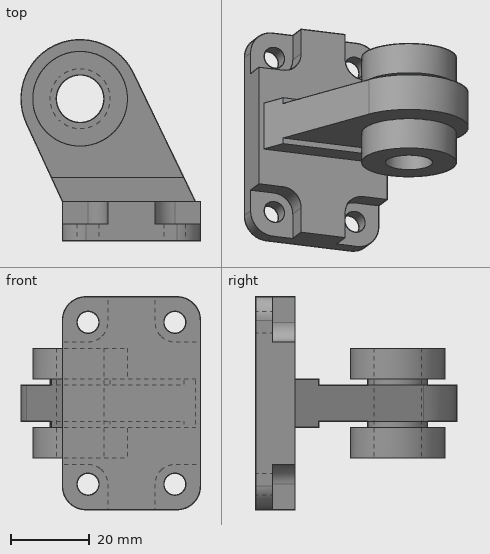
import cadquery as cq
import math

plate_width = 35.0
plate_height = 54.0
plate_thickness = 10.0
plate_corner_radius = 6.0

screw_hole_diameter = 5.5
screw_hole_inset = 6.5
relief_radius = 5.0
relief_floor = 4.3

eye_x = 4.5
eye_y = 36.0
eye_radius = 15.0
bore_diameter = 12.0
neck_diameter = 15.2
bushing_diameter = 24.0

arm_thickness = 9.2
neck_length = 1.5
bushing_length = 7.8
bushing_gap = arm_thickness + 2 * neck_length
bushing_span = bushing_gap + 2 * bushing_length

root_left_x = 0.0
root_right_x = 33.7
root_length = 6.0
root_thickness = bushing_gap


def tangent_point(root_x, side):
    """Point where a line from the arm root touches the eye circle (side: -1 left, +1 right)."""
    run_x = eye_x - root_x
    run_y = eye_y - plate_thickness
    lean = math.asin(eye_radius / math.hypot(run_x, run_y))
    edge_angle = math.atan2(run_y, run_x) - side * lean
    normal_angle = edge_angle - side * math.pi / 2
    return (
        eye_x + eye_radius * math.cos(normal_angle),
        eye_y + eye_radius * math.sin(normal_angle),
    )


def plate_face(depth):
    """Sketch plane parallel to the plate front, at the given depth and centred on the plate."""
    return cq.Workplane("XZ", origin=(plate_width / 2, depth, 0))


def centred_cylinder(diameter, length):
    """Cylinder on the pivot axis, symmetric about Z = 0."""
    return cq.Workplane("XY").center(eye_x, eye_y).circle(diameter / 2).extrude(length / 2, both=True)


def make_plate():
    """Rounded plate with four screw holes and a relief behind each corner."""
    plate = (
        cq.Workplane("XY")
        .box(plate_width, plate_thickness, plate_height, centered=(False, False, True))
        .edges("|Y")
        .fillet(plate_corner_radius)
    )

    relief_size = 2 * (screw_hole_inset + relief_radius)
    reliefs = (
        plate_face(relief_floor)
        .rarray(plate_width, plate_height, 2, 2)
        .rect(relief_size, relief_size)
        .extrude(-(plate_thickness - relief_floor))
        .edges("|Y")
        .fillet(relief_radius)
    )

    hole_pitch_x = plate_width - 2 * screw_hole_inset
    hole_pitch_z = plate_height - 2 * screw_hole_inset
    screw_holes = (
        plate_face(0)
        .rarray(hole_pitch_x, hole_pitch_z, 2, 2)
        .circle(screw_hole_diameter / 2)
        .extrude(-plate_thickness)
    )
    return plate.cut(reliefs).cut(screw_holes)


def arm_slab(thickness):
    """Leaning slab with an eye at its end and sides tangent to the eye, symmetric about Z = 0."""
    return (
        cq.Workplane("XY")
        .moveTo(root_left_x, plate_thickness)
        .lineTo(*tangent_point(root_left_x, -1))
        .threePointArc((eye_x, eye_y + eye_radius), tangent_point(root_right_x, 1))
        .lineTo(root_right_x, plate_thickness)
        .close()
        .extrude(thickness / 2, both=True)
    )


def make_arm():
    """Thin arm, thickened over a short length where it joins the plate."""
    root_zone = (
        cq.Workplane("XY")
        .center(plate_width / 2, plate_thickness + root_length / 2)
        .box(2 * plate_width, root_length, root_thickness)
    )
    root = arm_slab(root_thickness).intersect(root_zone)
    return arm_slab(arm_thickness).union(root)


def make_bushings():
    """Pair of bushings, one each side of the arm, joined by a narrower neck."""
    gap = centred_cylinder(bushing_diameter, bushing_gap)
    bushings = centred_cylinder(bushing_diameter, bushing_span).cut(gap)
    neck = centred_cylinder(neck_diameter, bushing_gap)
    return bushings.union(neck)


bore = centred_cylinder(bore_diameter, bushing_span)
result = make_plate().union(make_arm()).union(make_bushings()).cut(bore)